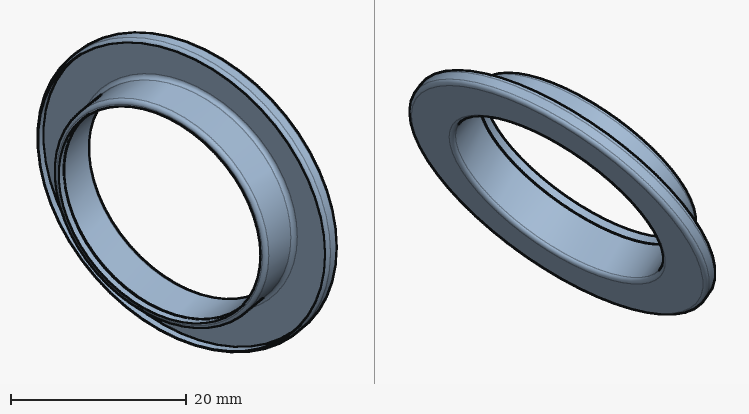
import cadquery as cq
import math

flange_radius = 20.25
hub_radius = 14.8
lip_radius = 14.0
bore_radius = 14.1
total_length = 6.55
flange_thickness = 2.23
lip_length = 1.1
recess_depth = 1.1
recess_radius = 19.9
edge_radius = 0.53
rim_radius = 0.6
root_radius = 0.53

rim_face = -flange_thickness
recess_floor = rim_face + recess_depth
hub_end = -total_length
lip_back = hub_end + lip_length

rim_center_radius = flange_radius - rim_radius
rim_center_y = rim_face + rim_radius
rim_crest_y = rim_center_y - math.sqrt(rim_radius**2 - (recess_radius - rim_center_radius) ** 2)

section = (
    cq.Workplane("XY")
    .moveTo(bore_radius, -edge_radius)
    .radiusArc((bore_radius + edge_radius, 0), edge_radius)
    .lineTo(flange_radius - edge_radius, 0)
    .radiusArc((flange_radius, -edge_radius), edge_radius)
    .lineTo(flange_radius, rim_center_y)
    .radiusArc((recess_radius, rim_crest_y), rim_radius)
    .lineTo(recess_radius, recess_floor)
    .lineTo(hub_radius + root_radius, recess_floor)
    .radiusArc((hub_radius, recess_floor - root_radius), -root_radius)
    .lineTo(hub_radius, hub_end + edge_radius)
    .radiusArc((hub_radius - edge_radius, hub_end), edge_radius)
    .lineTo(lip_radius, hub_end)
    .lineTo(lip_radius, lip_back)
    .lineTo(bore_radius, lip_back)
    .close()
)

result = section.revolve(360, (0, 0, 0), (0, 1, 0))